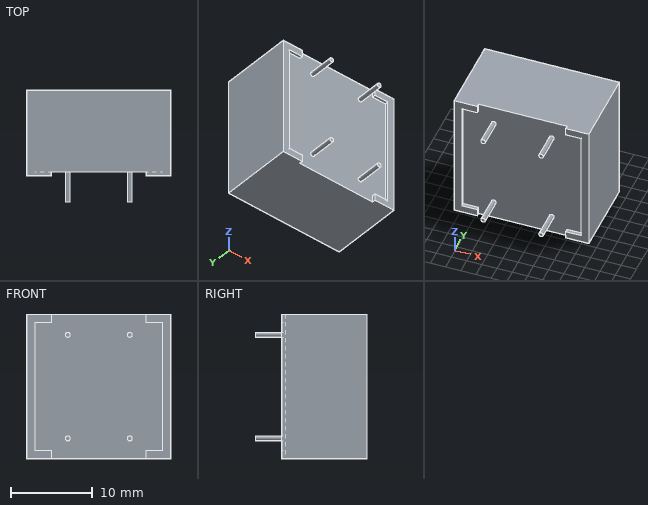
import cadquery as cq

case_side = 17.7
total_depth = 13.72
case_depth = 10.5
recess_depth = 0.46
rim_width = 1.01
corner_length = 3.05
pin_diameter = 0.6
pin_spacing_x = 7.61
pin_spacing_z = 12.7

rim_y = total_depth - case_depth
potting_y = rim_y + recess_depth


def block(width, y_start, y_end, height):
    """Box centred on X and Z, spanning y_start to y_end."""
    return cq.Workplane("XY").box(width, y_end - y_start, height).translate(
        (0, (y_start + y_end) / 2, 0)
    )


case = block(case_side, rim_y, total_depth, case_side)
recess_side = case_side - 2 * rim_width
case = case.cut(block(recess_side, rim_y, potting_y, recess_side))

gap_width = case_side - 2 * corner_length
case = case.cut(block(gap_width, rim_y, potting_y, case_side))

pins = (
    cq.Workplane("XZ")
    .rarray(pin_spacing_x, pin_spacing_z, 2, 2)
    .circle(pin_diameter / 2)
    .extrude(-potting_y)
)

result = case.union(pins)